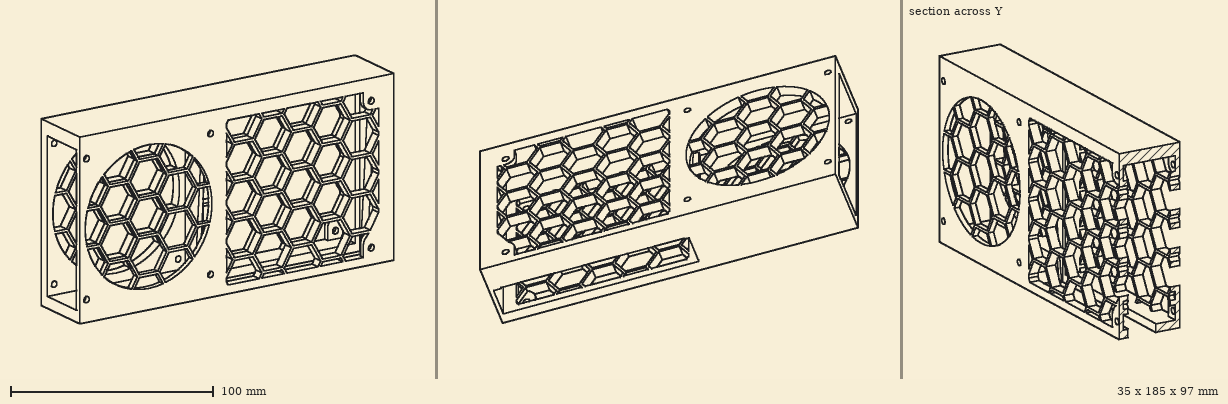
import cadquery as cq
import math

WIDTH = 35.0
LENGTH = 185
HEIGHT = 97.0

NEAR_WALL = 5.7
FAR_WALL = 5.4
FAN_FAR_WALL = 3.1

FAN_BAY_DEPTH = 81.0
FAN_BAY_BOTTOM = 6.3
FAN_BAY_TOP = 89.5
FAN_Y = 40.5
FAN_Z = HEIGHT / 2
FAN_DIAMETER = 74.5
FAN_SCREW_SPACING = 73.1
FAN_SCREW_DIAMETER = 3.1

BAY_FRONT = 86.5
BAY_BACK = 176.0
BAY_BOTTOM = 4.6
BAY_TOP = 90.1
SLOT_X = 13.9
SLOT_OVERHANG = 2.8
SLOT_FRONT = BAY_FRONT - SLOT_OVERHANG
SLOT_BACK = BAY_BACK + SLOT_OVERHANG

PAD_LENGTH = 8.9
PAD_THICKNESS = 2.8
SCREW_Y = 171.7
UPPER_SCREW_Z = 85.1
LOWER_SCREW_Z = 8.9
SUPPLY_SCREW_DIAMETER = 3.3
PAD_RADIUS = SCREW_Y - (BAY_BACK - PAD_LENGTH)
LOWER_ARC_Z = 11.3
LOWER_BEVEL_ANGLE = 50

PASSAGE_X_BOTTOM = 14.5
PASSAGE_X_TOP = 21.8
PASSAGE_BACK = 182.8

CELL_PITCH = 20.0
STRUT = 1.5
COLUMN_PITCH = CELL_PITCH * math.sqrt(3) / 2
CELL_CORNER_DIAMETER = (CELL_PITCH - STRUT) * 2 / math.sqrt(3)
GRID_REACH = 3


def block(x, y, z):
    """Box given by its (low, high) limits along X, Y and Z."""
    size = (x[1] - x[0], y[1] - y[0], z[1] - z[0])
    return cq.Workplane("XY").box(*size, centered=False).translate((x[0], y[0], z[0]))


def side_plane(x=0, y=0, z=0):
    """Workplane parallel to the broad sides: local axes are Y and Z, extruding toward +X."""
    return cq.Workplane("YZ", origin=(x, y, z))


def honeycomb(y, z):
    """Hexagonal cells through the whole width, with one cell centred on (y, z)."""
    centers = []
    for column in range(-GRID_REACH, GRID_REACH + 1):
        shift = CELL_PITCH / 2 * (column % 2)
        for row in range(-GRID_REACH, GRID_REACH + 1):
            centers.append((column * COLUMN_PITCH, row * CELL_PITCH + shift))
    return side_plane(0, y, z).pushPoints(centers).polygon(6, CELL_CORNER_DIAMETER).extrude(WIDTH)


def screw_holes(points, diameter):
    """Round holes through the whole width at the given (y, z) points."""
    return side_plane().pushPoints(points).circle(diameter / 2).extrude(WIDTH)


def fan_bay():
    """Rectangular bay between the -X wall and the thinner +X wall."""
    return block((NEAR_WALL, WIDTH - FAN_FAR_WALL), (0, FAN_BAY_DEPTH), (FAN_BAY_BOTTOM, FAN_BAY_TOP))


def fan_openings():
    """Round grille through both walls and the fan screw holes."""
    disc = side_plane(0, FAN_Y, FAN_Z).circle(FAN_DIAMETER / 2).extrude(WIDTH)
    half = FAN_SCREW_SPACING / 2
    screws = [(FAN_Y + i * half, FAN_Z + j * half) for i in (-1, 1) for j in (-1, 1)]
    return honeycomb(FAN_Y, FAN_Z).intersect(disc), screw_holes(screws, FAN_SCREW_DIAMETER)


def supply_bay():
    """Bay between the two walls; its deeper part is a longer slot open through the underside."""
    inner_x = WIDTH - FAR_WALL
    bay = block((NEAR_WALL, inner_x), (BAY_FRONT, BAY_BACK), (BAY_BOTTOM, BAY_TOP))
    slot = block((SLOT_X, inner_x), (SLOT_FRONT, SLOT_BACK), (0, BAY_TOP))
    return bay.union(slot)


def supply_window():
    """Window outline: rounded upper pad, rounded and bevelled lower pad."""
    pad_y = BAY_BACK - PAD_LENGTH
    upper_pad_z = UPPER_SCREW_Z - PAD_RADIUS
    arc_offset = PAD_RADIUS / math.sqrt(2)
    sweep = math.radians(90 - LOWER_BEVEL_ANGLE)
    bevel_y = SCREW_Y - PAD_RADIUS * math.cos(sweep)
    bevel_z = LOWER_ARC_Z + PAD_RADIUS * math.sin(sweep)
    bevel_rise = (BAY_BACK - bevel_y) / math.tan(sweep)
    return (
        side_plane()
        .moveTo(BAY_FRONT, BAY_BOTTOM)
        .lineTo(pad_y, BAY_BOTTOM)
        .lineTo(pad_y, LOWER_ARC_Z)
        .tangentArcPoint((bevel_y, bevel_z), relative=False)
        .lineTo(BAY_BACK, bevel_z + bevel_rise)
        .lineTo(BAY_BACK, upper_pad_z)
        .lineTo(SCREW_Y, upper_pad_z)
        .threePointArc((SCREW_Y - arc_offset, UPPER_SCREW_Z - arc_offset), (pad_y, UPPER_SCREW_Z))
        .lineTo(pad_y, BAY_TOP)
        .lineTo(BAY_FRONT, BAY_TOP)
        .close()
        .extrude(WIDTH)
    )


def supply_openings():
    """Honeycomb window in both sides and the pad screw holes."""
    cells = honeycomb((BAY_FRONT + BAY_BACK) / 2, (BAY_BOTTOM + BAY_TOP) / 2)
    screws = [(SCREW_Y, UPPER_SCREW_Z), (SCREW_Y, LOWER_SCREW_Z)]
    behind_pads = block((PAD_THICKNESS, WIDTH - PAD_THICKNESS), (BAY_FRONT, BAY_BACK), (BAY_BOTTOM, BAY_TOP))
    window = supply_window().union(behind_pads)
    return cells.intersect(window), screw_holes(screws, SUPPLY_SCREW_DIAMETER)


def passage():
    """Passage along Y through the partition and into the rear wall, open through the underside."""
    inner_x = WIDTH - FAR_WALL
    return (
        cq.Workplane("XZ", origin=(0, FAN_BAY_DEPTH, 0))
        .moveTo(PASSAGE_X_BOTTOM, 0)
        .lineTo(inner_x, 0)
        .lineTo(inner_x, FAN_BAY_TOP)
        .lineTo(PASSAGE_X_TOP, FAN_BAY_TOP)
        .close()
        .extrude(FAN_BAY_DEPTH - PASSAGE_BACK)
    )


result = block((0, WIDTH), (0, LENGTH), (0, HEIGHT))
for cutter in (fan_bay(), supply_bay(), passage(), *fan_openings(), *supply_openings()):
    result = result.cut(cutter)